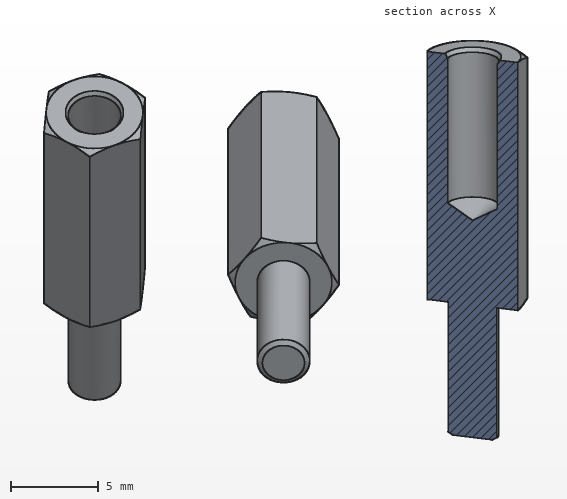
import cadquery as cq
import math

across_flats = 5.51
across_corners = across_flats * 2 / math.sqrt(3)
body_length = 15.0
corner_chamfer_angle = 30.0

stud_diameter = 3.0
stud_length = 8.0
stud_tip_chamfer_width = 0.3
stud_tip_chamfer_angle = 30.0

hole_diameter = 3.0
hole_depth = 9.0
drill_point_angle = 120.0
hole_mouth_diameter = 3.3
hole_mouth_half_angle = 30.0


def chamfer_envelope():
    """Body of revolution that trims the hexagon corners at both ends."""
    flat_radius = across_flats / 2
    corner_radius = across_corners / 2
    drop = (corner_radius - flat_radius) * math.tan(math.radians(corner_chamfer_angle))
    return (
        cq.Workplane("XZ")
        .moveTo(0, 0)
        .lineTo(flat_radius, 0)
        .lineTo(corner_radius, drop)
        .lineTo(corner_radius, body_length - drop)
        .lineTo(flat_radius, body_length)
        .lineTo(0, body_length)
        .close()
        .revolve(360, (0, 0, 0), (0, 1, 0))
    )


def hexagonal_body():
    """Hexagonal prism with corners on the X axis and chamfered ends."""
    prism = cq.Workplane("XY").polygon(6, across_corners).extrude(body_length)
    return prism.intersect(chamfer_envelope())


def stud():
    """Cylindrical stud below the body, chamfered at its tip."""
    radius = stud_diameter / 2
    tip_radius = radius - stud_tip_chamfer_width
    chamfer_height = stud_tip_chamfer_width * math.tan(math.radians(stud_tip_chamfer_angle))
    return (
        cq.Workplane("XZ")
        .moveTo(0, 0)
        .lineTo(radius, 0)
        .lineTo(radius, chamfer_height - stud_length)
        .lineTo(tip_radius, -stud_length)
        .lineTo(0, -stud_length)
        .close()
        .revolve(360, (0, 0, 0), (0, 1, 0))
    )


def hole():
    """Blind hole with a drill-point bottom and a steep conical lead-in at its mouth."""
    radius = hole_diameter / 2
    mouth_radius = hole_mouth_diameter / 2
    mouth_depth = (mouth_radius - radius) / math.tan(math.radians(hole_mouth_half_angle))
    bottom = body_length - hole_depth
    point_depth = radius / math.tan(math.radians(drill_point_angle / 2))
    return (
        cq.Workplane("XZ")
        .moveTo(0, bottom - point_depth)
        .lineTo(radius, bottom)
        .lineTo(radius, body_length - mouth_depth)
        .lineTo(mouth_radius, body_length)
        .lineTo(0, body_length)
        .close()
        .revolve(360, (0, 0, 0), (0, 1, 0))
    )


result = hexagonal_body().union(stud()).cut(hole())